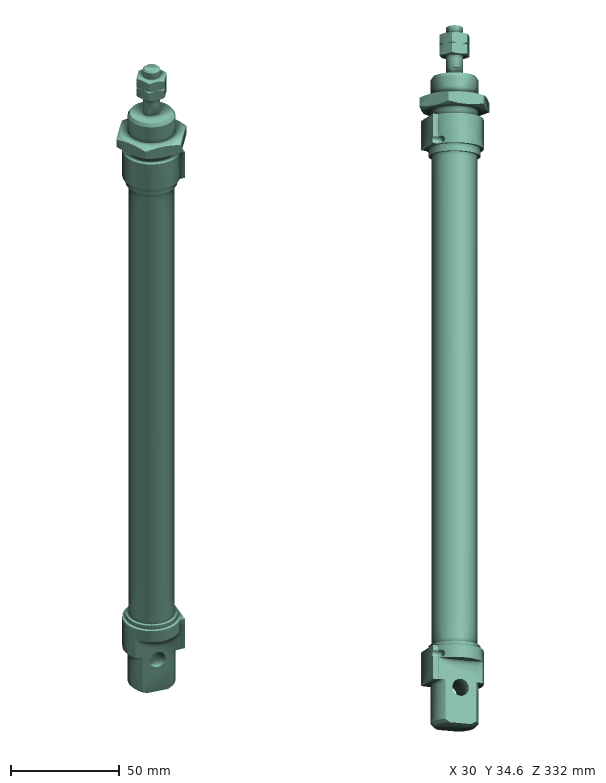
import cadquery as cq
import math

total_length = 332.0
rod_projection = 24.0
front_face_z = total_length - rod_projection

rod_dia = 8.0
rod_thread_length = 20.0
rod_flat_width = 6.0
rod_thread_root_dia = 6.65
rod_guide_depth = 37.0

nose_dia = 22.0
nose_length = 20.0
nose_chamfer_inset = 1.0
nose_chamfer_length = 1.5

tube_dia = 21.4
collar_dia = 24.0
cap_dia = 27.0
front_cap_length = 14.0
front_collar_length = 3.5
rear_collar_length = 2.0

tang_dia = 22.0
tang_length = 20.0
rear_cap_length = 16.0
tang_chamfer = 1.5
tang_thickness = 16.0
tang_flat_length = 30.0
pivot_hole_dia = 8.0
pivot_hole_z = 17.0

pad_width = 15.5
pad_height = 13.5
screw_hole_dia = 3.5
screw_hole_x = -8.75
screw_hole_floor_y = 8.5
front_screw_hole_inset = 1.75
rear_screw_hole_inset = 4.0

mounting_nut_flats = 30.0
mounting_nut_height = 6.0
mounting_nut_top_z = front_face_z - 10.0
mounting_nut_chamfer_dia = 29.5
rod_nut_flats = 13.0
rod_nut_height = 5.0
rod_nut_count = 2
rod_nut_top_z = total_length - 4.0
rod_nut_chamfer_dia = 13.0
nut_chamfer_angle = 22.0

front_cap_top_z = front_face_z - nose_length
front_cap_bottom_z = front_cap_top_z - front_cap_length
front_collar_bottom_z = front_cap_bottom_z - front_collar_length
rear_cap_top_z = tang_length + rear_cap_length
rear_collar_top_z = rear_cap_top_z + rear_collar_length


def cylinder(diameter, bottom_z, top_z):
    """Upright cylinder on the Z axis."""
    return cq.Workplane("XY", origin=(0, 0, bottom_z)).circle(diameter / 2).extrude(top_z - bottom_z)


def turned_housing():
    """Revolved shape of the tang, rear cap, barrel, front cap and threaded nose."""
    profile = [
        (0, 0),
        (tang_dia / 2 - tang_chamfer, 0),
        (tang_dia / 2, tang_chamfer),
        (tang_dia / 2, tang_length),
        (cap_dia / 2, tang_length),
        (cap_dia / 2, rear_cap_top_z),
        (collar_dia / 2, rear_cap_top_z),
        (collar_dia / 2, rear_collar_top_z),
        (tube_dia / 2, rear_collar_top_z),
        (tube_dia / 2, front_collar_bottom_z),
        (collar_dia / 2, front_collar_bottom_z),
        (collar_dia / 2, front_cap_bottom_z),
        (cap_dia / 2, front_cap_bottom_z),
        (cap_dia / 2, front_cap_top_z),
        (nose_dia / 2, front_cap_top_z),
        (nose_dia / 2, front_face_z - nose_chamfer_length),
        (nose_dia / 2 - nose_chamfer_inset, front_face_z),
        (0, front_face_z),
    ]
    return cq.Workplane("XZ").polyline(profile).close().revolve(360, (0, 0), (0, 1))


def port_pad(bottom_z, top_z):
    """Flat-topped pad that squares off the +Y side of a cap."""
    base = cq.Workplane("XY", origin=(0, 0, bottom_z))
    return base.box(pad_width, pad_height, top_z - bottom_z, centered=(True, False, False))


def screw_hole(z):
    """Blind hole along Y that opens through the side of a port pad."""
    depth = cap_dia - screw_hole_floor_y
    return (
        cq.Workplane("XZ", origin=(screw_hole_x, screw_hole_floor_y, z))
        .circle(screw_hole_dia / 2)
        .extrude(-depth)
    )


def tang_flat_cuts():
    """Material removed on both X sides to leave the flat tang."""
    side = cq.Workplane("XY").box(cap_dia, 2 * cap_dia, tang_flat_length, centered=(False, True, False))
    right = side.translate((tang_thickness / 2, 0, 0))
    return right.union(right.mirror("YZ"))


def make_housing():
    """Barrel with both caps, port pads, tang and the blind bore that guides the rod."""
    body = turned_housing()
    body = body.cut(tang_flat_cuts())
    body = body.union(port_pad(tang_length, rear_cap_top_z))
    body = body.union(port_pad(front_cap_bottom_z, front_cap_top_z))
    rear_screw_z = rear_cap_top_z - rear_screw_hole_inset
    front_screw_z = front_cap_bottom_z + front_screw_hole_inset
    for z in (rear_screw_z, front_screw_z):
        body = body.cut(screw_hole(z))
    pivot = cq.Workplane("YZ").center(0, pivot_hole_z).circle(pivot_hole_dia / 2).extrude(cap_dia, both=True)
    body = body.cut(pivot)
    return body.cut(cylinder(rod_dia, front_face_z - rod_guide_depth, front_face_z))


def make_rod():
    """Rod with a chamfered end and two wrench flats facing X."""
    rod = cylinder(rod_dia, front_face_z - rod_guide_depth, total_length)
    rod = rod.faces(">Z").chamfer((rod_dia - rod_thread_root_dia) / 2)
    flat_top_z = total_length - rod_thread_length
    side = cq.Workplane("XY").box(rod_dia, 2 * rod_dia, flat_top_z - front_face_z, centered=(False, True, False))
    right = side.translate((rod_flat_width / 2, 0, front_face_z))
    return rod.cut(right).cut(right.mirror("YZ"))


def make_nut(flats, height, bore, chamfer_dia, bottom_z):
    """Hexagon nut with corners along Y and both faces chamfered at the corners."""
    corner_dia = flats / math.cos(math.radians(30))
    hexagon = cq.Workplane("XY").polygon(6, corner_dia).extrude(height)
    hexagon = hexagon.rotate((0, 0, 0), (0, 0, 1), 90)
    chamfer_width = corner_dia - chamfer_dia
    outer = chamfer_dia / 2 + chamfer_width
    drop = chamfer_width * math.tan(math.radians(nut_chamfer_angle))
    profile = [
        (0, 0),
        (chamfer_dia / 2, 0),
        (outer, drop),
        (outer, height - drop),
        (chamfer_dia / 2, height),
        (0, height),
    ]
    blank = cq.Workplane("XZ").polyline(profile).close().revolve(360, (0, 0), (0, 1))
    return hexagon.intersect(blank).cut(cylinder(bore, 0, height)).translate((0, 0, bottom_z))


housing = make_housing()
rod = make_rod()
mounting_nut = make_nut(
    mounting_nut_flats,
    mounting_nut_height,
    nose_dia,
    mounting_nut_chamfer_dia,
    mounting_nut_top_z - mounting_nut_height,
)
rod_nuts = []
for index in range(rod_nut_count):
    bottom_z = rod_nut_top_z - (index + 1) * rod_nut_height
    rod_nuts.append(make_nut(rod_nut_flats, rod_nut_height, rod_dia, rod_nut_chamfer_dia, bottom_z))

result = cq.Compound.makeCompound(
    [housing.val(), rod.val(), mounting_nut.val(), *[nut.val() for nut in rod_nuts]]
)